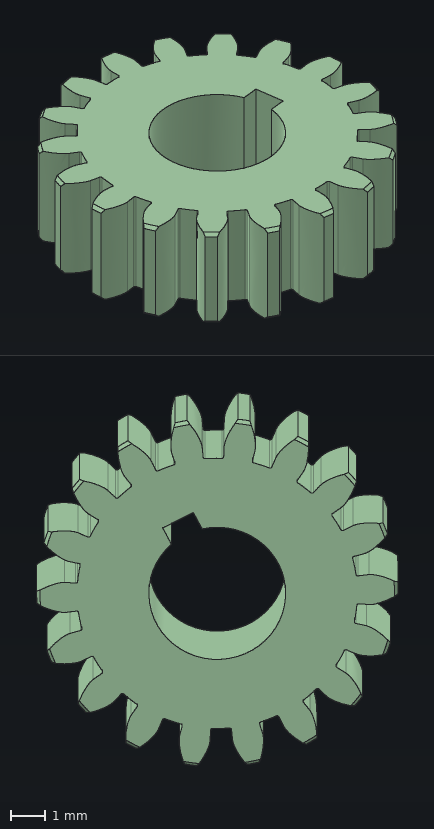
import cadquery as cq
import math

TOOTH_COUNT = 18
MODULE = 0.53
PRESSURE_ANGLE = math.radians(20)
TOOTH_ANGLE = 5.86
FACE_WIDTH = 3.17
TIP_CHAMFER = 0.11
ROOT_FILLET = 0.05

BORE_RADIUS = 2.0
KEYWAY_WIDTH = 1.0
KEYWAY_TOP = 2.5

PITCH_RADIUS = MODULE * TOOTH_COUNT / 2
TIP_RADIUS = PITCH_RADIUS + MODULE
ROOT_RADIUS = PITCH_RADIUS - 1.25 * MODULE
BASE_RADIUS = PITCH_RADIUS * math.cos(PRESSURE_ANGLE)

FLANK_STEPS = 6
TOLERANCE = 0.0001
TOOTH_PITCH = 2 * math.pi / TOOTH_COUNT


def polar(radius, angle):
    """Cartesian point at a radius and an angle in radians."""
    return (radius * math.cos(angle), radius * math.sin(angle))


def half_tooth_angle(radius):
    """Angle from the tooth centreline to its involute flank at a radius."""
    pressure_angle = math.acos(BASE_RADIUS / radius)
    involute = math.tan(pressure_angle) - pressure_angle
    involute_at_pitch = math.tan(PRESSURE_ANGLE) - PRESSURE_ANGLE
    return TOOTH_PITCH / 4 + involute_at_pitch - involute


def flank_points(center_angle, side):
    """Points up one flank, base circle to tip; side is -1 or +1."""
    points = []
    for step in range(FLANK_STEPS + 1):
        radius = BASE_RADIUS + (TIP_RADIUS - BASE_RADIUS) * step / FLANK_STEPS
        points.append(polar(radius, center_angle + side * half_tooth_angle(radius)))
    return points


def gear_outline():
    """Closed outline of teeth with radial flanks below the base circle."""
    root_half_angle = half_tooth_angle(BASE_RADIUS)
    start_angle = math.radians(TOOTH_ANGLE)
    outline = cq.Workplane("XY").moveTo(*polar(ROOT_RADIUS, start_angle - root_half_angle))
    for tooth in range(TOOTH_COUNT):
        center = start_angle + tooth * TOOTH_PITCH
        rising = flank_points(center, -1)
        falling = flank_points(center, 1)[::-1]
        next_root = center + TOOTH_PITCH - root_half_angle
        outline = (
            outline.lineTo(*rising[0])
            .spline(rising[1:], includeCurrent=True)
            .threePointArc(polar(TIP_RADIUS, center), falling[0])
            .spline(falling[1:], includeCurrent=True)
            .lineTo(*polar(ROOT_RADIUS, center + root_half_angle))
            .threePointArc(polar(ROOT_RADIUS, center + TOOTH_PITCH / 2), polar(ROOT_RADIUS, next_root))
        )
    return outline.close()


def filleted_teeth():
    """Toothed prism with the corners between flanks and root circle rounded."""
    teeth = gear_outline().extrude(FACE_WIDTH)
    root_corners = [
        edge
        for edge in teeth.edges("|Z").vals()
        if abs(math.hypot(edge.Center().x, edge.Center().y) - ROOT_RADIUS) < TOLERANCE
    ]
    return teeth.newObject(root_corners).fillet(ROOT_FILLET)


def chamfered_blank():
    """Disc whose rims bevel the ends of the tooth tips."""
    return (
        cq.Workplane("XY")
        .circle(TIP_RADIUS)
        .extrude(FACE_WIDTH)
        .edges()
        .chamfer(TIP_CHAMFER)
    )


def keyed_bore():
    """Cutter for the through bore and its keyway on the +Y side."""
    bore = cq.Workplane("XY").circle(BORE_RADIUS).extrude(FACE_WIDTH)
    keyway = (
        cq.Workplane("XY")
        .center(0, KEYWAY_TOP / 2)
        .rect(KEYWAY_WIDTH, KEYWAY_TOP)
        .extrude(FACE_WIDTH)
    )
    return bore.union(keyway)


result = filleted_teeth().intersect(chamfered_blank()).cut(keyed_bore())